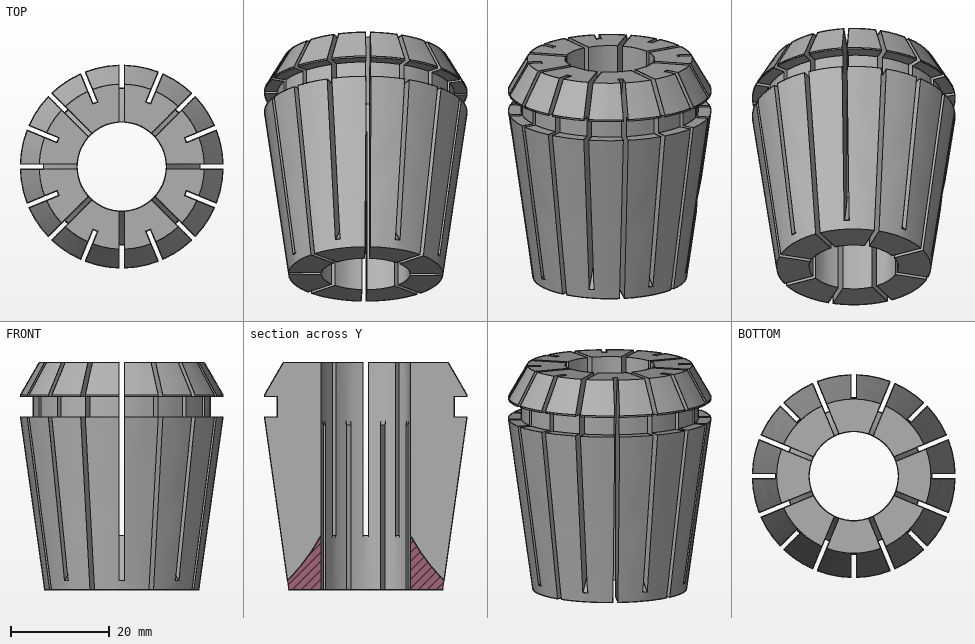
import cadquery as cq
import math

length = 46
rim_radius = 20.5
bore_radius = 9.0
nose_angle = 30
taper_angle = 8

groove_radius = 17.95
groove_bottom = 35.0
groove_top = 39.05
rim_land = 0.3

slots_per_set = 8
slot_pitch = 360 / slots_per_set
slot_width = 1.0
slot_reach = 23

floor_outer_radius = 15.8
floor_outer_height = 1.95
floor_bore_height = 11.05

roof_outer_radius = 14.0
roof_bore_height = 33.35

slot_end_curve = 40


def make_body():
    rim_top = groove_top + rim_land
    nose_radius = rim_radius - (length - rim_top) * math.tan(math.radians(nose_angle))
    base_radius = rim_radius - groove_bottom * math.tan(math.radians(taper_angle))
    profile = (
        cq.Workplane("XZ")
        .moveTo(bore_radius, 0)
        .lineTo(base_radius, 0)
        .lineTo(rim_radius, groove_bottom)
        .lineTo(groove_radius, groove_bottom)
        .lineTo(groove_radius, groove_top)
        .lineTo(rim_radius, groove_top)
        .lineTo(rim_radius, rim_top)
        .lineTo(nose_radius, length)
        .lineTo(bore_radius, length)
        .close()
    )
    return profile.revolve(360, (0, 0, 0), (0, 1, 0))


def make_slot(open_end, bore_height, outer_radius, outer_height):
    """Slot along +X from the bore outward, open at one end and closed by a concave arc at the other."""
    run = outer_radius - bore_radius
    rise = bore_height - outer_height
    chord = math.hypot(run, rise)
    sag = slot_end_curve - math.sqrt(slot_end_curve**2 - (chord / 2) ** 2)
    arc_middle = (
        (bore_radius + outer_radius) / 2 - sag * abs(rise) / chord,
        (bore_height + outer_height) / 2 - sag * math.copysign(run, rise) / chord,
    )
    profile = (
        cq.Workplane("XZ")
        .moveTo(0, open_end)
        .lineTo(0, bore_height)
        .lineTo(bore_radius, bore_height)
        .threePointArc(arc_middle, (outer_radius, outer_height))
        .lineTo(slot_reach, outer_height)
        .lineTo(slot_reach, open_end)
        .close()
    )
    return profile.extrude(slot_width / 2, both=True)


result = make_body()
nose_slot = make_slot(length, floor_bore_height, floor_outer_radius, floor_outer_height)
shank_slot = make_slot(0, roof_bore_height, roof_outer_radius, length)
for index in range(slots_per_set):
    nose_slot_angle = index * slot_pitch
    shank_slot_angle = nose_slot_angle + slot_pitch / 2
    result = result.cut(nose_slot.rotate((0, 0, 0), (0, 0, 1), nose_slot_angle))
    result = result.cut(shank_slot.rotate((0, 0, 0), (0, 0, 1), shank_slot_angle))